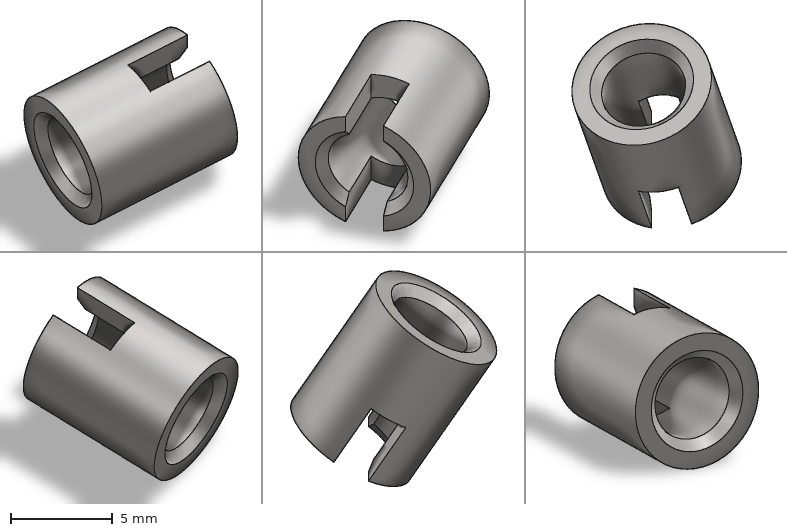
import cadquery as cq

length = 8.0
outer_diameter = 7.0
bore_diameter = 4.2
chamfer_diameter = 5.2
chamfer = (chamfer_diameter - bore_diameter) / 2

slot_width = 2.0
slot_depth = outer_diameter / 2


def make_sleeve():
    """Tube with a chamfered bore mouth at each end."""
    outer_radius = outer_diameter / 2
    bore_radius = bore_diameter / 2
    mouth_radius = bore_radius + chamfer
    half_length = length / 2
    wall_profile = [
        (mouth_radius, -half_length),
        (outer_radius, -half_length),
        (outer_radius, half_length),
        (mouth_radius, half_length),
        (bore_radius, half_length - chamfer),
        (bore_radius, -half_length + chamfer),
    ]
    return cq.Workplane("XY").polyline(wall_profile).close().revolve(360, (0, 0), (0, 1))


def make_slot():
    """Block that removes the slot through the full height."""
    slot_center_y = (length - slot_depth) / 2
    return cq.Workplane("XY").box(slot_width, slot_depth, outer_diameter).translate((0, slot_center_y, 0))


result = make_sleeve().cut(make_slot())